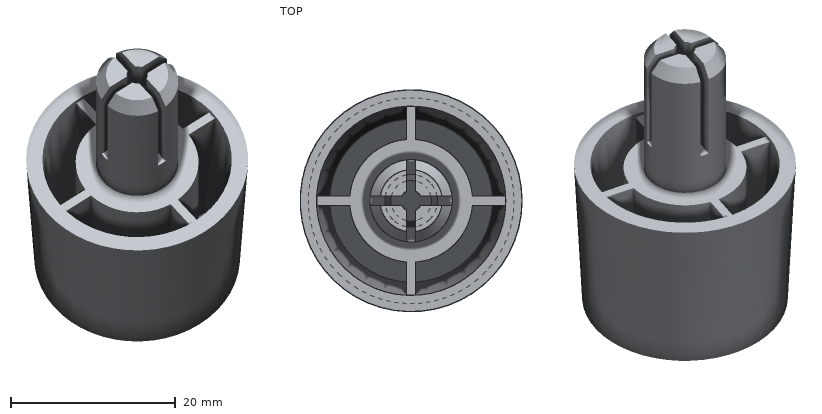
import cadquery as cq

total_height = 38.5
cup_height = 20.6

cup_top_radius = 13.495
cup_bottom_radius = 12.5
cavity_top_radius = 11.5
cavity_floor_radius = 9.9
floor_thickness = 1.55
hub_radius = 7.45
hub_drop = 0.5
rib_width = 1.1
hub_top = cup_height - hub_drop

stem_radius = 5.0
tip_radius = 3.77
tip_height = 1.55
slot_width = 1.1
slot_depth = 13.0
bore_radius = 1.27

insert_radius = 3.2
insert_tip_radius = 2.45
insert_chamfer = insert_radius - insert_tip_radius
slot_floor = total_height - slot_depth


def frustum(bottom_z, bottom_radius, top_z, top_radius):
    """Solid cone frustum about the Z axis."""
    profile = [(0, bottom_z), (bottom_radius, bottom_z), (top_radius, top_z), (0, top_z)]
    return cq.Workplane("XZ").polyline(profile).close().revolve(360, (0, 0), (0, 1))


def cross(length, width, bottom_z, height):
    """Two crossed bars along X and Y."""
    base = cq.Workplane("XY").workplane(offset=bottom_z)
    return base.rect(length, width).extrude(height).union(base.rect(width, length).extrude(height))


def make_cup():
    outside = frustum(0, cup_bottom_radius, cup_height, cup_top_radius)
    cavity = frustum(floor_thickness, cavity_floor_radius, cup_height, cavity_top_radius)

    core_height = hub_top - floor_thickness
    hub = cq.Workplane("XY").workplane(offset=floor_thickness).circle(hub_radius).extrude(core_height)
    ribs = cross(2 * cavity_top_radius, rib_width, floor_thickness, core_height)
    return outside.cut(cavity.cut(hub).cut(ribs))


def make_stem():
    tip_base = total_height - tip_height
    shaft = cq.Workplane("XY").workplane(offset=hub_top).circle(stem_radius).extrude(tip_base - hub_top)
    stem = shaft.union(frustum(tip_base, stem_radius, total_height, tip_radius))

    slots = cross(2 * stem_radius, slot_width, slot_floor, slot_depth)
    bore = cq.Workplane("XY").workplane(offset=slot_floor).circle(bore_radius).extrude(slot_depth)
    return stem.cut(slots).cut(bore)


def make_housing():
    """Cup and stem in one piece, with a hole for the insert up to the slot floor."""
    hole = cq.Workplane("XY").circle(insert_radius).extrude(slot_floor)
    return make_cup().union(make_stem()).cut(hole)


def make_insert():
    pin = cq.Workplane("XY").circle(insert_radius).extrude(slot_floor)
    return pin.faces(">Z").chamfer(insert_chamfer)


housing = make_housing()
insert = make_insert()
result = cq.Compound.makeCompound([housing.val(), insert.val()])